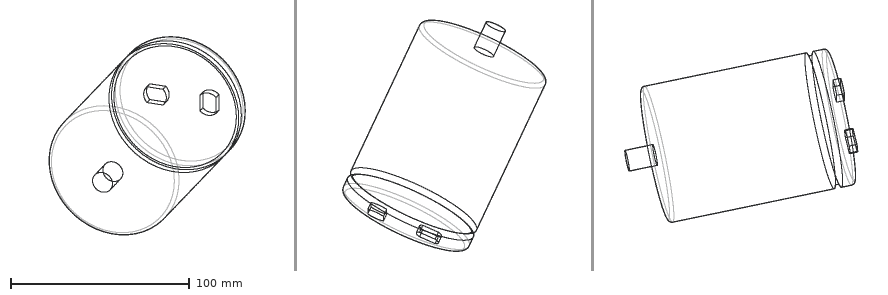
import cadquery as cq
import math

can_diameter = 78.0
overall_length = 127.5
can_length = 107.0
rim_radius = 2.0

groove_radius = 2.0
groove_from_top = 10.0

stud_diameter = 12.0
stud_length = 16.1

terminal_diameter = 13.6
terminal_height = overall_length - can_length - stud_length
terminal_spacing = 31.9
terminal_flat_width = terminal_diameter / math.sqrt(2)


def cylinder_along_y(diameter, start_y, length):
    """Solid cylinder on the Y axis, from start_y towards +Y."""
    base = cq.Workplane("XZ", origin=(0, start_y, 0))
    return base.circle(diameter / 2).extrude(-length)


def make_can():
    """Cylinder with rounded rims and a half-round groove near the top."""
    can_radius = can_diameter / 2
    can = cylinder_along_y(can_diameter, 0, can_length).edges().fillet(rim_radius)
    groove = (
        cq.Workplane("XY", origin=(0, can_length - groove_from_top, 0))
        .center(can_radius, 0)
        .circle(groove_radius)
        .revolve(360, (-can_radius, 0), (-can_radius, 1))
    )
    return can.cut(groove)


def make_terminal(centre_x, flats_face_x):
    """Round post with two parallel flats, facing either +/-X or +/-Z."""
    post = cylinder_along_y(terminal_diameter, can_length, terminal_height)
    size_x = terminal_flat_width if flats_face_x else terminal_diameter
    size_z = terminal_diameter if flats_face_x else terminal_flat_width
    flats = (
        cq.Workplane("XZ", origin=(0, can_length, 0))
        .rect(size_x, size_z)
        .extrude(-terminal_height)
    )
    return post.intersect(flats).translate((centre_x, 0, 0))


stud = cylinder_along_y(stud_diameter, -stud_length, stud_length)
left_terminal = make_terminal(-terminal_spacing / 2, flats_face_x=False)
right_terminal = make_terminal(terminal_spacing / 2, flats_face_x=True)

result = make_can().union(stud).union(left_terminal).union(right_terminal)